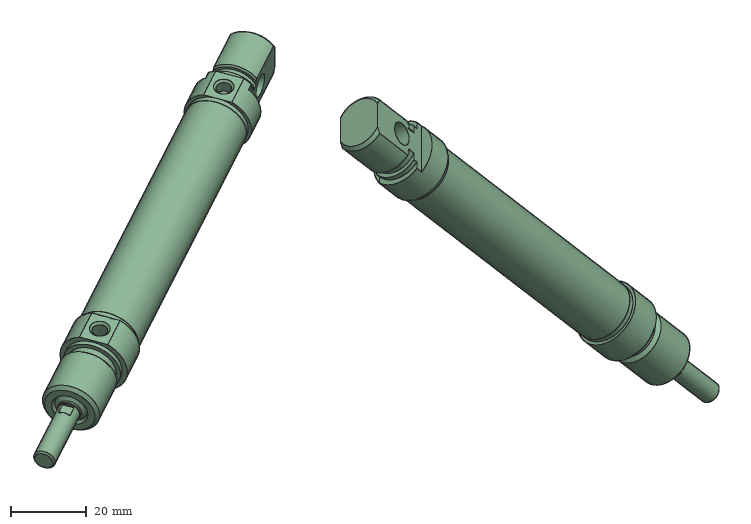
import cadquery as cq
import math

LENGTH = 159.0

COLLAR_D = 19.0
NOSE_D = 16.0
GROOVE_D = 13.7
PORT_FLAT_Z = 8.6
PORT_D = 4.1
PORT_MOUTH_D = 5.4
PORT_TIP_ANGLE = 118.0
CHAMFER = 1.0
GROOVE_CHAMFER = 0.5
GROOVE_CONE_LENGTH = 1.0

REAR_NOSE_FRONT = LENGTH - 14.2
REAR_GROOVE_FRONT = LENGTH - 16.4
REAR_COLLAR_BACK = LENGTH - 17.8
REAR_COLLAR_FRONT = LENGTH - 27.0
REAR_PORT_DEPTH = 3.8
EYE_WIDTH = 12.1
EYE_FLAT_LENGTH = 19.9
EYE_HOLE_D = 6.5
EYE_HOLE_Y = LENGTH - 11.0

BARREL_D = 17.3
CRIMP_D = 17.2
CRIMP_LENGTH = 1.5

FRONT_COLLAR_BACK = 47.2
FRONT_COLLAR_FRONT = 37.8
FRONT_SHOULDER_FRONT = 36.5
FRONT_NOSE_BACK = 34.7
FRONT_FACE = 19.7
RECESS_D = 10.2
RECESS_ROOT_D = 9.0
RECESS_DEPTH = 1.0
LIP_D = 6.5
LIP_HEIGHT = 0.6

ROD_D = 6.0
ROD_TIP_CHAMFER = 0.5
WRENCH_WIDTH = 5.1
WRENCH_FRONT = 15.6
WRENCH_BACK = 18.6


def revolve_profile(points):
    """Revolve an outline of (radius, y) points about the Y axis."""
    return cq.Workplane("XY").polyline(points).close().revolve(360, (0, 0, 0), (0, 1, 0))


def cylinder(diameter, y_start, y_end):
    """Cylinder on the Y axis between two positions."""
    return revolve_profile([(0, y_start), (diameter / 2, y_start), (diameter / 2, y_end), (0, y_end)])


def box_between(x_range, y_range, z_range):
    """Box given by its limits along each axis."""
    limits = (x_range, y_range, z_range)
    sizes = [high - low for low, high in limits]
    corner = tuple(low for low, high in limits)
    return cq.Workplane("XY").box(*sizes, centered=False).translate(corner)


def port_flat(y_front, y_back):
    """Cutter that flattens the top of a collar around its air port."""
    reach = COLLAR_D / 2
    return box_between((-reach, reach), (y_front, y_back), (PORT_FLAT_Z, COLLAR_D))


def port_hole(y, depth):
    """Air port going down from the collar flat, with a 45 degree countersunk mouth."""
    top = cq.Workplane("XY").workplane(offset=PORT_FLAT_Z).center(0, y)
    bore = top.circle(PORT_D / 2).extrude(-depth)
    mouth_depth = (PORT_MOUTH_D - PORT_D) / 2
    start = cq.Vector(0, y, PORT_FLAT_Z)
    mouth = cq.Solid.makeCone(PORT_MOUTH_D / 2, PORT_D / 2, mouth_depth, start, cq.Vector(0, 0, -1))
    return bore.union(cq.Workplane(mouth))


def port_drill_tip(y, depth):
    """Conical end of a blind air port."""
    tip_height = PORT_D / 2 / math.tan(math.radians(PORT_TIP_ANGLE / 2))
    start = cq.Vector(0, y, PORT_FLAT_Z - depth)
    return cq.Workplane(cq.Solid.makeCone(PORT_D / 2, 0, tip_height, start, cq.Vector(0, 0, -1)))


def make_rear_cap():
    nose_r = NOSE_D / 2
    cap = revolve_profile([
        (0, LENGTH),
        (nose_r - CHAMFER, LENGTH),
        (nose_r, LENGTH - CHAMFER),
        (nose_r, REAR_NOSE_FRONT + GROOVE_CHAMFER),
        (nose_r - GROOVE_CHAMFER, REAR_NOSE_FRONT),
        (GROOVE_D / 2, REAR_NOSE_FRONT),
        (GROOVE_D / 2, REAR_GROOVE_FRONT),
        (nose_r, REAR_GROOVE_FRONT),
        (nose_r, REAR_COLLAR_BACK),
        (COLLAR_D / 2, REAR_COLLAR_BACK),
        (COLLAR_D / 2, REAR_COLLAR_FRONT),
        (0, REAR_COLLAR_FRONT),
    ])

    for side in (-1, 1):
        x_limits = sorted((side * EYE_WIDTH / 2, side * COLLAR_D))
        cap = cap.cut(box_between(x_limits, (LENGTH - EYE_FLAT_LENGTH, LENGTH), (-COLLAR_D, COLLAR_D)))

    pin_hole = cq.Workplane("YZ").center(EYE_HOLE_Y, 0).circle(EYE_HOLE_D / 2).extrude(EYE_WIDTH, both=True)
    cap = cap.cut(pin_hole)

    port_y = (REAR_COLLAR_BACK + REAR_COLLAR_FRONT) / 2
    cap = cap.cut(port_flat(REAR_COLLAR_FRONT, REAR_COLLAR_BACK))
    cap = cap.cut(port_hole(port_y, REAR_PORT_DEPTH))
    return cap.cut(port_drill_tip(port_y, REAR_PORT_DEPTH))


def make_barrel():
    """Barrel with a reduced band against each end cap."""
    front_band = FRONT_COLLAR_BACK + CRIMP_LENGTH
    rear_band = REAR_COLLAR_FRONT - CRIMP_LENGTH
    return revolve_profile([
        (0, FRONT_COLLAR_BACK),
        (CRIMP_D / 2, FRONT_COLLAR_BACK),
        (CRIMP_D / 2, front_band),
        (BARREL_D / 2, front_band),
        (BARREL_D / 2, rear_band),
        (CRIMP_D / 2, rear_band),
        (CRIMP_D / 2, REAR_COLLAR_FRONT),
        (0, REAR_COLLAR_FRONT),
    ])


def make_front_cap():
    nose_r = NOSE_D / 2
    rod_r = ROD_D / 2
    cap = revolve_profile([
        (rod_r, FRONT_COLLAR_BACK),
        (COLLAR_D / 2, FRONT_COLLAR_BACK),
        (COLLAR_D / 2, FRONT_COLLAR_FRONT),
        (nose_r, FRONT_COLLAR_FRONT),
        (nose_r, FRONT_SHOULDER_FRONT),
        (GROOVE_D / 2, FRONT_SHOULDER_FRONT),
        (GROOVE_D / 2, FRONT_NOSE_BACK),
        (nose_r, FRONT_NOSE_BACK - GROOVE_CONE_LENGTH),
        (nose_r, FRONT_FACE + CHAMFER),
        (nose_r - CHAMFER, FRONT_FACE),
        (RECESS_D / 2, FRONT_FACE),
        (RECESS_ROOT_D / 2, FRONT_FACE + RECESS_DEPTH),
        (LIP_D / 2, FRONT_FACE),
        (LIP_D / 2, FRONT_FACE - LIP_HEIGHT),
        (rod_r, FRONT_FACE - LIP_HEIGHT),
    ])

    port_y = (FRONT_COLLAR_BACK + FRONT_COLLAR_FRONT) / 2
    cap = cap.cut(port_flat(FRONT_COLLAR_FRONT, FRONT_COLLAR_BACK))
    return cap.cut(port_hole(port_y, PORT_FLAT_Z))


def make_rod():
    rod = cylinder(ROD_D, 0, FRONT_COLLAR_BACK).faces("<Y").chamfer(ROD_TIP_CHAMFER)

    for side in (-1, 1):
        z_limits = sorted((side * WRENCH_WIDTH / 2, side * ROD_D))
        rod = rod.cut(box_between((-ROD_D, ROD_D), (WRENCH_FRONT, WRENCH_BACK), z_limits))
    return rod


rear_cap = make_rear_cap()
barrel = make_barrel()
front_cap = make_front_cap()
rod = make_rod()

result = cq.Compound.makeCompound([rear_cap.val(), barrel.val(), front_cap.val(), rod.val()])